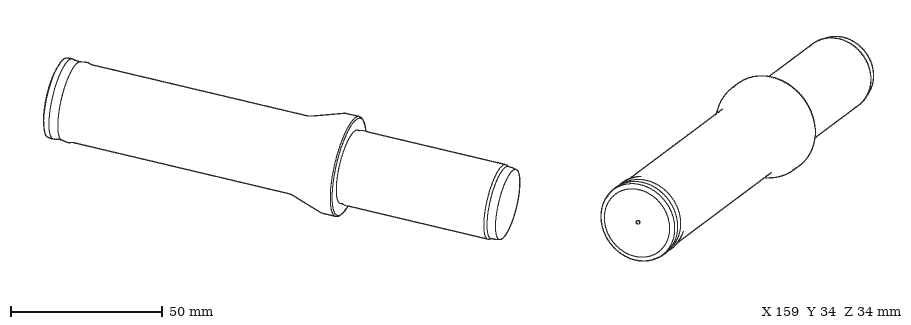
import cadquery as cq
import math

total_length = 159.0
seat_x = 5.5
collar_peak_x = 7.5
collar_land = 0.3
collar_end_x = 9.0
flare_start_x = 85.0
flare_end_x = 98.3
flange_back_x = 103.2
undercut_length = 0.8
undercut_end_x = 105.0
shank_end_x = 155.2
tip_start_x = 156.1
tip_chamfer_x = 157.5

body_radius = 26.5 / 2
flange_radius = 34.0 / 2
collar_radius = 13.7
undercut_radius = 25.0 / 2
shank_radius = 12.7
tip_radius = 24.5 / 2
tip_end_radius = 12.0
flare_angle = math.radians(17)
flare_blend_radius = 6.4
flange_chamfer = 0.5
flange_blend_radius = 3.2

rim_radius = 13.7
bevel_inner_radius = 12.0
bevel_outer_radius = 13.5
bevel_depth = 0.6
rim_start_x = 1.6
rim_end_x = 2.5
relief_x = 3.0
relief_radius = 13.5
waist_x = 4.5
waist_radius = 13.4

land_inner_radius = 11.6
groove_outer_radius = 9.7
groove_inner_radius = 8.5
groove_depth = 0.24
boss_radius = 6.7
sink_radius = 5.1
sink_floor_radius = 3.2
sink_depth = 0.5
pit_radius = 2.2
pit_depth = 0.6
centre_radius = 0.6
centre_depth = 1.0


def revolve_about_x(profile):
    """Turn a closed (X, radius) profile through a full circle about X."""
    return profile.close().revolve(360, (0, 0, 0), (1, 0, 0))


def make_disc():
    """Round disc with a bevelled rim, annular face groove and stepped central sink."""
    profile = (
        cq.Workplane("XY")
        .moveTo(seat_x, 0)
        .lineTo(centre_depth, 0)
        .lineTo(centre_depth, centre_radius)
        .lineTo(pit_depth, centre_radius)
        .lineTo(pit_depth, pit_radius)
        .lineTo(sink_depth, sink_floor_radius)
        .lineTo(0, sink_radius)
        .lineTo(0, boss_radius)
        .lineTo(groove_depth, groove_inner_radius)
        .lineTo(groove_depth, groove_outer_radius)
        .lineTo(0, land_inner_radius)
        .lineTo(0, bevel_inner_radius)
        .lineTo(bevel_depth, bevel_outer_radius)
        .lineTo(rim_start_x, rim_radius)
        .lineTo(rim_end_x, rim_radius)
        .lineTo(relief_x, relief_radius)
        .lineTo(waist_x, waist_radius)
        .lineTo(seat_x, waist_radius)
    )
    return revolve_about_x(profile)


def make_holder():
    """Long holder with a front collar, flared flange and undercut rear shank."""
    sin_flare = math.sin(flare_angle)
    cos_flare = math.cos(flare_angle)
    sin_half = math.sin(flare_angle / 2)
    cos_half = math.cos(flare_angle / 2)
    body_blend_mid = (
        flare_start_x + flare_blend_radius * sin_half,
        body_radius + flare_blend_radius * (1 - cos_half),
    )
    body_blend_end = (
        flare_start_x + flare_blend_radius * sin_flare,
        body_radius + flare_blend_radius * (1 - cos_flare),
    )
    flange_blend_start = (
        flare_end_x - flange_blend_radius * sin_flare,
        flange_radius - flange_blend_radius * (1 - cos_flare),
    )
    flange_blend_mid = (
        flare_end_x - flange_blend_radius * sin_half,
        flange_radius - flange_blend_radius * (1 - cos_half),
    )
    profile = (
        cq.Workplane("XY")
        .moveTo(seat_x, 0)
        .lineTo(seat_x, waist_radius)
        .lineTo(collar_peak_x, collar_radius)
        .lineTo(collar_peak_x + collar_land, collar_radius)
        .lineTo(collar_end_x, body_radius)
        .lineTo(flare_start_x, body_radius)
        .threePointArc(body_blend_mid, body_blend_end)
        .lineTo(*flange_blend_start)
        .threePointArc(flange_blend_mid, (flare_end_x, flange_radius))
        .lineTo(flange_back_x - flange_chamfer, flange_radius)
        .lineTo(flange_back_x, flange_radius - flange_chamfer)
        .lineTo(flange_back_x, undercut_radius)
        .lineTo(flange_back_x + undercut_length, undercut_radius)
        .lineTo(undercut_end_x, shank_radius)
        .lineTo(shank_end_x, shank_radius)
        .lineTo(tip_start_x, tip_radius)
        .lineTo(tip_chamfer_x, tip_radius)
        .lineTo(total_length, tip_end_radius)
        .lineTo(total_length, 0)
    )
    return revolve_about_x(profile)


disc = make_disc()
holder = make_holder()

result = cq.Compound.makeCompound([disc.val(), holder.val()])